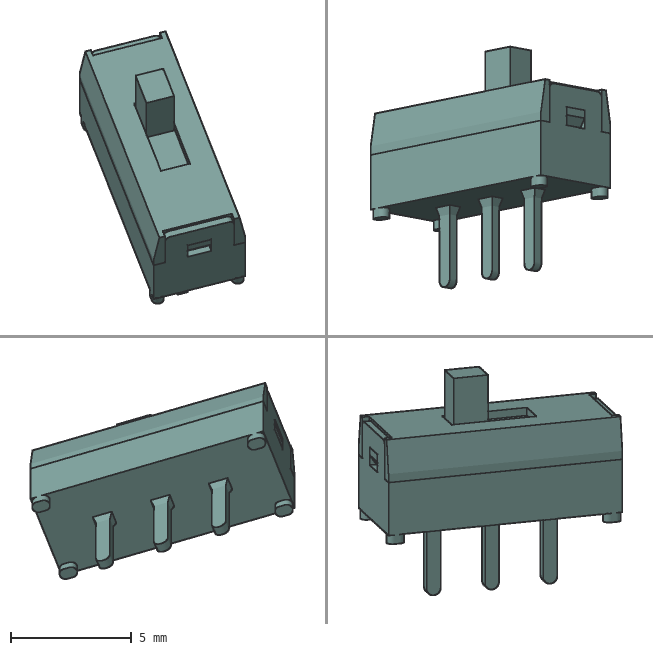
import cadquery as cq


case_length = 10.21
case_width = 3.99
case_height = 4.09
base_height = 2.31
top_width = 3.49
shoulder_drop = 1.42

tongue_thickness = 0.3
tongue_width = 3.0
tongue_drop = 0.12
tongue_corner_radius = 0.25

window_width = 1.03
window_height = 0.78
latch_face_height = 0.34

slot_length = 3.7
slot_width = 1.27
slot_depth = 0.35
slot_center_x = -0.05
slider_length = 1.5
slider_width = 1.2
slider_rise = 2.0
slider_end_gap = 0.09

terminal_count = 3
terminal_pitch = 2.54
terminal_width = 0.61
terminal_thickness = 0.41
terminal_reach = 3.4
collar_height = 0.37
collar_length = 0.84
collar_width = 0.6

foot_length = 0.76
foot_width = 0.51
foot_height = 0.4

cover_height = case_height - base_height
half_length = case_length / 2
end_signs = (-1, 1)


def block(length, width, height, x, bottom):
    """Upright box centred on Y = 0."""
    return (
        cq.Workplane("XY", origin=(x, 0, bottom))
        .box(length, width, height, centered=(True, True, False))
    )


def tongue_center(side):
    return side * (half_length - tongue_thickness / 2)


def make_tongue(side):
    """End tongue with rounded top corners and a window."""
    x = tongue_center(side)
    tongue_height = cover_height - tongue_drop
    tongue = block(tongue_thickness, tongue_width, tongue_height, x, base_height)
    tongue = tongue.edges("|X and >Z").fillet(tongue_corner_radius)
    return tongue.cut(block(tongue_thickness, window_width, window_height, x, base_height))


def make_latch(side):
    """Latch flush with the end face, its underside sloping back into the case."""
    outer = side * half_length
    inner = side * (half_length - tongue_thickness)
    window_top = base_height + window_height
    return (
        cq.Workplane("XZ", origin=(0, window_width / 2, 0))
        .moveTo(inner, base_height)
        .lineTo(inner, window_top)
        .lineTo(outer, window_top)
        .lineTo(outer, window_top - latch_face_height)
        .close()
        .extrude(window_width)
    )


def make_cover():
    """Block with sloped sides, end notches, latches and the slider slot."""
    shoulder = case_height - shoulder_drop
    cover = (
        cq.Workplane("YZ", origin=(-half_length, 0, 0))
        .moveTo(-case_width / 2, base_height)
        .lineTo(-case_width / 2, shoulder)
        .lineTo(-top_width / 2, case_height)
        .lineTo(top_width / 2, case_height)
        .lineTo(case_width / 2, shoulder)
        .lineTo(case_width / 2, base_height)
        .close()
        .extrude(case_length)
    )
    for side in end_signs:
        notch = block(tongue_thickness, tongue_width, cover_height, tongue_center(side), base_height)
        cover = cover.cut(notch).union(make_latch(side))
    slot_floor = case_height - slot_depth
    return cover.cut(block(slot_length, slot_width, slot_depth, slot_center_x, slot_floor))


def make_slider():
    """Straight post standing on the floor of the slot."""
    x = slot_center_x - slot_length / 2 + slider_end_gap + slider_length / 2
    return block(slider_length, slider_width, slider_rise + slot_depth, x, case_height - slot_depth)


def make_terminal(x):
    """Flat terminal with a round tip, below a tapered collar."""
    collar = (
        cq.Workplane("XY", origin=(x, 0, 0))
        .rect(collar_length, collar_width)
        .workplane(offset=-collar_height)
        .rect(terminal_width, terminal_thickness)
        .loft(ruled=True)
    )
    half_width = terminal_width / 2
    tip_start = half_width - terminal_reach
    blade = (
        cq.Workplane("XZ", origin=(x, terminal_thickness / 2, 0))
        .moveTo(-half_width, -collar_height)
        .lineTo(-half_width, tip_start)
        .threePointArc((0, -terminal_reach), (half_width, tip_start))
        .lineTo(half_width, -collar_height)
        .close()
        .extrude(terminal_thickness)
    )
    return collar.union(blade)


def make_feet():
    """Round-ended feet flush with the outer sides of the case."""
    return (
        cq.Workplane("XY")
        .rect(case_length - foot_length, case_width - foot_width, forConstruction=True)
        .vertices()
        .slot2D(foot_length, foot_width)
        .extrude(-foot_height)
    )


def make_base():
    """Block with end tongues, feet and a row of terminals."""
    base = block(case_length, case_width, base_height, 0, 0).union(make_feet())
    for side in end_signs:
        base = base.union(make_tongue(side))
    for index in range(terminal_count):
        x = (index - (terminal_count - 1) / 2) * terminal_pitch
        base = base.union(make_terminal(x))
    return base


cover = make_cover()
base = make_base()
slider = make_slider()

result = cq.Compound.makeCompound([cover.solids().val(), base.solids().val(), slider.val()])